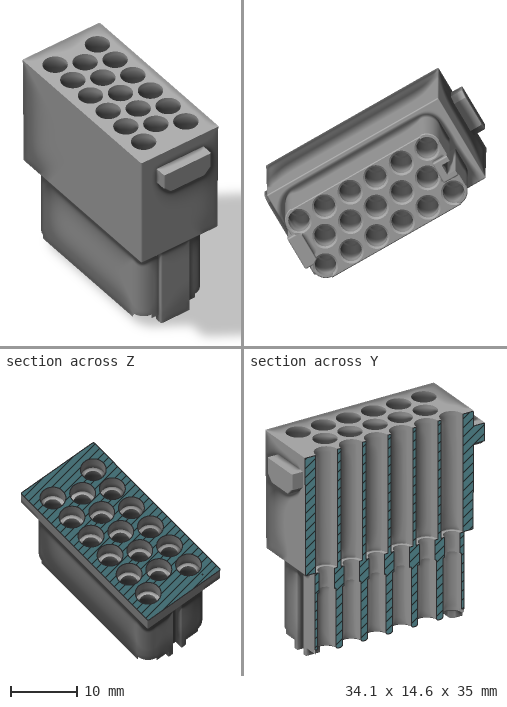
import cadquery as cq
import math

total_height = 34.95
housing_length = 30.23
housing_width = 14.6
shoulder_z = 15.0
housing_draft = 0.1
edge_round = 0.2

contacts_outer_row = 6
outer_row_span = 22.45
row_spacing = 4.0
contact_pitch = outer_row_span / (contacts_outer_row - 1)
entry_diameter = 3.85
throat_diameter = 2.7
socket_diameter = 3.25
mouth_radius = entry_diameter / 2
countersink_depth = 0.25
throat_length = 3.5
throat_bottom_z = shoulder_z - throat_length

plug_length = 26.7
plug_width = 12.25
corner_radius = 2.2
plug_bottom_z = 1.25
plug_edge_chamfer = 0.15

corner_angles = (45, 135, 225, 315)
window_height = 0.75
window_width = 2.83
window_edge_chamfer = 0.15

overall_length = 34.15
tab_top_z = 32.45
tab_height = 3.7
tab_chamfer = 1.05
left_tab_width = 7.0
right_tab_width = 8.85

left_foot_length = 2.5
left_foot_width = 3.5
groove_width = 1.7
groove_depth = 1.4
rib_height = 0.65
right_foot_length = 2.25
right_foot_width = 5.5
foot_round = 0.25

plug_end_x = plug_length / 2
rib_end_x = plug_end_x + rib_height


def block(x_min, x_max, width, z_min, z_max):
    """Box between the given X and Z limits, centred on Y."""
    size = (x_max - x_min, width, z_max - z_min)
    return cq.Workplane("XY").box(*size, centered=(False, True, False)).translate((x_min, 0, z_min))


def make_housing():
    height = total_height - shoulder_z
    draft_angle = math.degrees(math.atan2(housing_draft, height))
    top_face = cq.Workplane("XY", origin=(0, 0, total_height)).rect(housing_length, housing_width)
    housing = top_face.extrude(-height, taper=draft_angle)
    return housing.edges("not >Z").fillet(edge_round)


def make_plug():
    plug = block(-plug_end_x, plug_end_x, plug_width, plug_bottom_z, shoulder_z)
    plug = plug.edges("|Z").fillet(corner_radius)
    plug = plug.faces("<Z").edges().chamfer(plug_edge_chamfer)
    plug = plug.cut(make_corner_windows())
    tolerance = 0.005
    ceiling_z = plug_bottom_z + window_height
    ceiling_arcs = plug.edges("%CIRCLE").filter(lambda edge: abs(edge.Center().z - ceiling_z) < tolerance)
    return ceiling_arcs.chamfer(window_edge_chamfer)


def make_tab(side, width):
    """Latch tab on the end facing side * X, with its lower corners cut at 45 degrees."""
    half = width / 2
    bottom_z = tab_top_z - tab_height
    outline = [
        (-half, tab_top_z),
        (half, tab_top_z),
        (half, bottom_z + tab_chamfer),
        (half - tab_chamfer, bottom_z),
        (-half + tab_chamfer, bottom_z),
        (-half, bottom_z + tab_chamfer),
    ]
    tab = cq.Workplane("YZ").polyline(outline).close().extrude(overall_length / 2 * side)
    outer_side_edges = tab.faces(">X" if side > 0 else "<X").edges("not |Y")
    return outer_side_edges.fillet(edge_round)


def make_left_foot():
    foot = block(-plug_end_x, -plug_end_x + left_foot_length, left_foot_width, 0, shoulder_z)
    foot = foot.edges("|Z and >X").fillet(foot_round)
    return foot.faces("<Z").edges("not <X").fillet(foot_round)


def make_right_foot():
    """Rib on the right end of the plug that ends in a foot hollowed around the corner cavities."""
    foot = block(rib_end_x - right_foot_length, rib_end_x, right_foot_width, 0, shoulder_z)
    foot = foot.edges("|Z and >X").fillet(foot_round)
    foot = foot.faces("<Z").edges().fillet(foot_round)
    return foot.cut(cavity_cylinders(entry_diameter, 0, plug_bottom_z))


def contact_positions():
    positions = []
    for row in (-1, 0, 1):
        count = contacts_outer_row if row else contacts_outer_row - 1
        first_x = -contact_pitch * (count - 1) / 2
        positions += [(first_x + i * contact_pitch, row * row_spacing) for i in range(count)]
    return positions


def cavity_cylinders(diameter, z_min, z_max):
    """One upright cylinder at every contact position."""
    sketch = cq.Workplane("XY", origin=(0, 0, z_min)).pushPoints(contact_positions())
    return sketch.circle(diameter / 2).extrude(z_max - z_min)


def make_corner_windows():
    """Slots running diagonally outward from the four corner cavities."""
    slot = cq.Workplane("XY", origin=(0, 0, plug_bottom_z))
    slot = slot.rect(2 * corner_radius, window_width, centered=(False, True)).extrude(window_height)
    windows = cq.Workplane("XY")
    for angle in corner_angles:
        x_side = math.copysign(1, math.cos(math.radians(angle)))
        y_side = math.copysign(1, math.sin(math.radians(angle)))
        corner = (x_side * outer_row_span / 2, y_side * row_spacing, 0)
        windows = windows.add(slot.rotate((0, 0, 0), (0, 0, 1), angle).translate(corner))
    return windows.combine()


result = make_housing().union(make_plug())
result = result.union(make_tab(-1, left_tab_width)).union(make_tab(1, right_tab_width))
result = result.union(make_left_foot()).union(make_right_foot())

groove = block(-plug_end_x, -plug_end_x + groove_depth, groove_width, 0, shoulder_z)
result = result.cut(groove)

result = result.cut(cavity_cylinders(entry_diameter, shoulder_z, total_height))
result = result.cut(cavity_cylinders(throat_diameter, throat_bottom_z, shoulder_z))
result = result.cut(cavity_cylinders(socket_diameter, 0, throat_bottom_z))

for x, y in contact_positions():
    mouth = cq.Vector(x, y, plug_bottom_z)
    result = result.cut(cq.Solid.makeCone(mouth_radius, socket_diameter / 2, countersink_depth, mouth))